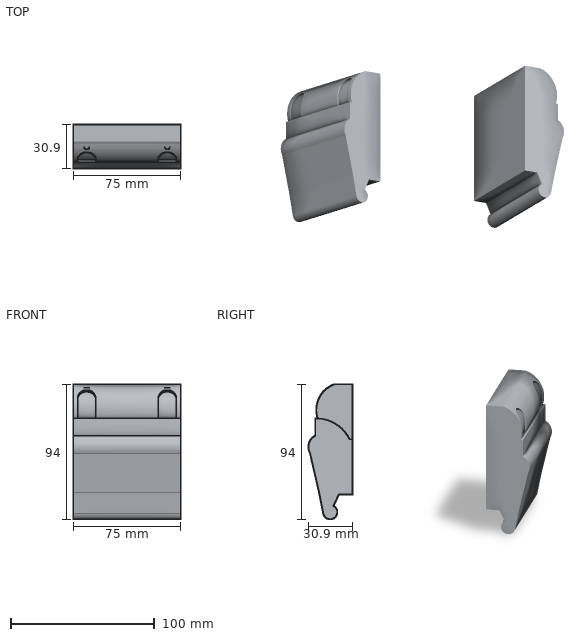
import cadquery as cq
import math


length = 75.0
overall_depth = 30.9
overall_height = 94.03

cap_radius = 19.05
cap_front = 25.4
cap_axis_y = -(cap_front - cap_radius)
cap_axis_z = -18.0
cap_flat_depth = 12.0
cap_crown_depth = 12.8

joint_heel = (-2.2, -38.3)
joint_radius = 25.9

ledge_z = -23.85
ledge_front = 26.2
roll_radius = 8.8
roll_axis_y = -(overall_depth - roll_radius)
roll_axis_z = -43.65
roll_end_z = -47.9
slope_break = (-23.5, -75.2)
slope_end_z = -89.9
bead_radius = 5.0
bead_axis_y = -15.65
bead_axis_z = bead_radius - overall_height
bead_neck_y = -13.25
underside_z = -76.9
underside_depth = 9.65

plug_width = 12.7
plug_spacing = 56.0
plug_recess = 1.0
plug_depth = 16.0
plug_top_z = -5.4
plug_tilt = 45.0

recess_top_z = -4.14
recess_back_y = -18.0

pin_radius = 1.8
pin_axis_y = -15.55
pin_top_z = -2.4
pin_length = 10.0


def circle_z(axis, radius, y):
    """Height of the upper half of a YZ circle at depth y."""
    return axis[1] + math.sqrt(radius**2 - (y - axis[0]) ** 2)


def circle_front_y(axis, radius, z):
    """Depth of the front half of a YZ circle at height z."""
    return axis[0] - math.sqrt(radius**2 - (z - axis[1]) ** 2)


def arc_mid(start, end, radius):
    """Middle point of the YZ arc that bulges to the left of the way from start to end."""
    run = end[0] - start[0]
    rise = end[1] - start[1]
    chord = math.hypot(run, rise)
    bulge = radius - math.sqrt(radius**2 - (chord / 2) ** 2)
    mid_y = (start[0] + end[0]) / 2 - bulge * rise / chord
    mid_z = (start[1] + end[1]) / 2 + bulge * run / chord
    return (mid_y, mid_z)


def extrude_along_x(profile):
    return profile.extrude(length / 2, both=True)


cap_axis = (cap_axis_y, cap_axis_z)
cap_toe = (circle_front_y(cap_axis, cap_radius, ledge_z), ledge_z)
joint_mid = arc_mid(cap_toe, joint_heel, joint_radius)


def make_cap_blank():
    crown = (-cap_crown_depth, circle_z(cap_axis, cap_radius, -cap_crown_depth))
    profile = (
        cq.Workplane("YZ")
        .lineTo(-cap_flat_depth, 0)
        .lineTo(*crown)
        .threePointArc((-cap_front, cap_axis_z), cap_toe)
        .threePointArc(joint_mid, joint_heel)
        .lineTo(0, joint_heel[1])
        .close()
    )
    return extrude_along_x(profile)


def make_base():
    roll_axis = (roll_axis_y, roll_axis_z)
    bead_axis = (bead_axis_y, bead_axis_z)
    roll_start = (-ledge_front, circle_z(roll_axis, roll_radius, -ledge_front))
    roll_end = (circle_front_y(roll_axis, roll_radius, roll_end_z), roll_end_z)
    slope_end = (circle_front_y(bead_axis, bead_radius, slope_end_z), slope_end_z)
    bead_neck = (bead_neck_y, circle_z(bead_axis, bead_radius, bead_neck_y))
    profile = (
        cq.Workplane("YZ")
        .moveTo(0, joint_heel[1])
        .lineTo(*joint_heel)
        .threePointArc(joint_mid, cap_toe)
        .lineTo(-ledge_front, ledge_z)
        .lineTo(*roll_start)
        .threePointArc((-overall_depth, roll_axis_z), roll_end)
        .lineTo(*slope_break)
        .lineTo(*slope_end)
        .threePointArc((bead_axis_y, -overall_height), bead_neck)
        .lineTo(-underside_depth, underside_z)
        .lineTo(0, underside_z)
        .close()
    )
    return extrude_along_x(profile)


def round_topped_bar(x, apex, tilt, depth):
    """Bar with a round top, running out of the cap's front and past its foot.

    The crest of the round top passes through apex, a YZ point, and the bar's flat inner
    end lies depth behind it. The inner end dips below the outer end by tilt degrees.
    """
    tilt_rad = math.radians(tilt)
    inward = cq.Vector(0, math.cos(tilt_rad), -math.sin(tilt_rad))
    inner_end = cq.Vector(x, *apex) + inward * depth
    end_plane = cq.Plane(origin=inner_end, xDir=(1, 0, 0), normal=-inward)
    radius = plug_width / 2
    foot = -overall_height
    return (
        cq.Workplane(end_plane)
        .moveTo(-radius, foot)
        .lineTo(-radius, -radius)
        .threePointArc((0, 0), (radius, -radius))
        .lineTo(radius, foot)
        .close()
        .extrude(depth + overall_depth)
    )


def make_recess(x):
    return round_topped_bar(x, (recess_back_y, recess_top_z), tilt=0, depth=0)


def make_plug(x):
    """Plug whose front face is concentric with the rounded front of the cap."""
    face_radius = cap_radius - plug_recess
    face = extrude_along_x(cq.Workplane("YZ").center(*cap_axis).circle(face_radius))
    apex = (circle_front_y(cap_axis, face_radius, plug_top_z), plug_top_z)
    key = round_topped_bar(x, apex, plug_tilt, plug_depth).intersect(face).intersect(cap_blank)
    pin = (
        cq.Workplane("XY", origin=(x, pin_axis_y, pin_top_z))
        .circle(pin_radius)
        .extrude(-pin_length)
    )
    return key.union(pin)


cap_blank = make_cap_blank()
cap = cap_blank
plugs = []
for plug_x in (-plug_spacing / 2, plug_spacing / 2):
    plug = make_plug(plug_x)
    cap = cap.cut(make_recess(plug_x)).cut(plug)
    plugs.append(plug)

base = make_base()

bodies = [cap, base, *plugs]
result = cq.Compound.makeCompound([body.solids().val() for body in bodies])